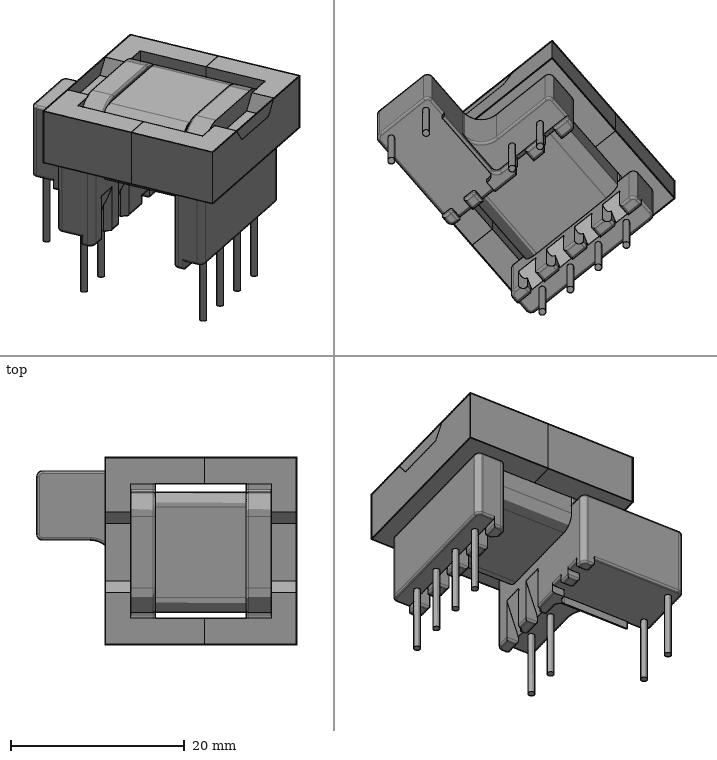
import cadquery as cq
core_height = 6.67
flange_top = 7.12
pin_tip = -17.87
block_bottom = -9.2
pad_bottom = -10.25

tape_length = 22.1
tape_width = 21.6
tape_thickness = 0.1
core_seam_x = 0.42
window_length = 16.22
window_width = 15.45
notch_top_width = 9.22
notch_floor_width = 6.58
notch_depth = 1.77

bobbin_y = -0.15
bobbin_width = 18.75
flange_outer = 8.05
flange_inner = 5.2
winding_width = 13.83
winding_top = 6.65
winding_bottom = -3.1
winding_radius = 1.7
flange_radius = 2.78
left_block_outer = -9.95
right_block_outer = 9.07
arm_end = -18.9
arm_width = 8.0
arm_radius = 2.78
corner_radius = 0.72
edge_radius = 0.3

pad_outer = 6.75
groove_width = 1.85
groove_top = -4.5
pad_corner_radius = 0.3
groove_lip_radius = 0.72
pad_overlap = 0.6
contact_tolerance = 0.03
arm_gap_rows = [3.5, 6.9]
rib_end = -15.98
rib_thickness = 0.33
rib_fillet = 0.72
rib_root = -6.0

pin_diameter = 0.8
pin_embed = 1.5
right_pin_count = 4
left_pin_count = 2
pin_pitch = 4.2
left_pin_x = -7.95
right_pin_x = 7.5
arm_pin_x = -17.6
arm_pin_pitch = 5.2

core_length = tape_length - 2 * tape_thickness
core_width = tape_width - 2 * tape_thickness
block_back = bobbin_y + bobbin_width / 2
block_front = bobbin_y - bobbin_width / 2
arm_front = block_back - arm_width
arm_y = block_back - arm_width / 2
pin_rows = [
    bobbin_y + pin_pitch * (row - (right_pin_count - 1) / 2) for row in range(right_pin_count)
]
left_pin_rows = pin_rows[:left_pin_count]


def span_box(x0, x1, y0, y1, z0, z1):
    """Box between two limits along each axis."""
    return cq.Workplane("XY").box(x1 - x0, y1 - y0, z1 - z0, centered=False).translate((x0, y0, z0))


def make_tape():
    outer = cq.Workplane("XY").rect(tape_length, tape_width)
    return outer.rect(core_length, core_width).extrude(core_height)


def make_core_half(side):
    """U-shaped half of the core; side is -1 for the -X half and +1 for the +X half."""
    x0, x1 = sorted([core_seam_x, side * core_length / 2])
    ring = cq.Workplane("XY").rect(core_length, core_width)
    ring = ring.rect(window_length, window_width).extrude(core_height)
    notch = (
        cq.Workplane("YZ")
        .moveTo(bobbin_y - notch_top_width / 2, core_height)
        .lineTo(bobbin_y - notch_floor_width / 2, core_height - notch_depth)
        .lineTo(bobbin_y + notch_floor_width / 2, core_height - notch_depth)
        .lineTo(bobbin_y + notch_top_width / 2, core_height)
        .close()
        .extrude(core_length / 2, both=True)
    )
    half_box = span_box(x0, x1, -core_width / 2, core_width / 2, 0, core_height)
    return ring.cut(notch).intersect(half_box)


def left_outline():
    """Plan of the left block with its arm, joined by a concave quarter round."""
    return (
        cq.Workplane("XY")
        .moveTo(-flange_inner, block_front)
        .lineTo(-flange_inner, block_back)
        .lineTo(arm_end, block_back)
        .lineTo(arm_end, arm_front)
        .lineTo(left_block_outer - arm_radius, arm_front)
        .radiusArc((left_block_outer, arm_front - arm_radius), arm_radius)
        .lineTo(left_block_outer, block_front)
        .close()
    )


def right_outline():
    centre_x = (flange_inner + right_block_outer) / 2
    return (
        cq.Workplane("XY")
        .center(centre_x, bobbin_y)
        .rect(right_block_outer - flange_inner, bobbin_width)
    )


def vertical_edges_at(points):
    """Selector for the vertical block edges through the given plan points."""
    selector = None
    for x, y in points:
        nearest = cq.selectors.NearestToPointSelector((x, y, pad_bottom / 2))
        selector = nearest if selector is None else selector + nearest
    return selector


def rounded_prism(outline, corners, bottom):
    """Block outline extruded down from Z = 0, with its convex corners rounded."""
    prism = outline.extrude(bottom)
    return prism.edges("|Z").edges(vertical_edges_at(corners)).fillet(corner_radius)


def make_pad(x0, x1, y0, y1, side):
    """Standoff pad whose outer front vertical edge is rounded."""
    pad = span_box(x0, x1, y0, y1, pad_bottom, block_bottom + pad_overlap)
    outer_face = ">X" if side > 0 else "<X"
    return pad.faces(outer_face).edges("|Z").edges("<Y").fillet(pad_corner_radius)


def make_rib():
    """Thin rib along the front of the arm, flared into the pad by a quarter round on each side."""
    rib_back = arm_front + rib_thickness
    plan = (
        cq.Workplane("XY", origin=(0, 0, pad_bottom))
        .moveTo(rib_end, arm_front)
        .lineTo(-pad_outer - rib_fillet, arm_front)
        .radiusArc((-pad_outer, arm_front - rib_fillet), rib_fillet)
        .lineTo(rib_root, arm_front - rib_fillet)
        .lineTo(rib_root, rib_back + rib_fillet)
        .lineTo(-pad_outer, rib_back + rib_fillet)
        .radiusArc((-pad_outer - rib_fillet, rib_back), rib_fillet)
        .lineTo(rib_end, rib_back)
        .close()
    )
    return plan.extrude(block_bottom + pad_overlap - pad_bottom)


def make_groove(side, y):
    """Groove in a block's inner face, its floor sloping outwards to the underside and its +Y lip rounded."""
    half = groove_width / 2
    lip = half + groove_lip_radius
    slope = (
        cq.Workplane("XZ")
        .moveTo(flange_inner, groove_top)
        .lineTo(pad_outer, block_bottom)
        .lineTo(pad_outer, pad_bottom)
        .lineTo(flange_inner, pad_bottom)
        .close()
        .extrude(lip, both=True)
    )
    plan = (
        cq.Workplane("XY", origin=(0, 0, pad_bottom))
        .moveTo(flange_inner, -half)
        .lineTo(pad_outer, -half)
        .lineTo(pad_outer, half)
        .lineTo(flange_inner + groove_lip_radius, half)
        .radiusArc((flange_inner, lip), -groove_lip_radius)
        .close()
        .extrude(groove_top - pad_bottom)
    )
    groove = slope.intersect(plan)
    if side < 0:
        groove = groove.mirror("YZ")
    return groove.translate((0, y, 0))


def pad_spans(rows, front, back):
    """Y limits of the pads left between gaps one groove wide on the given rows, from front to back."""
    limits = [front]
    for y in rows:
        limits += [y - groove_width / 2, y + groove_width / 2]
    limits.append(back)
    return list(zip(limits[::2], limits[1::2]))


def round_underside(pad):
    """Round the lower edges of a pad; one that reaches the thin rib is rounded only in front of it."""
    lower_edges = pad.faces("<Z").edges()
    if pad.val().BoundingBox().xmin < rib_end + edge_radius:
        low_front = (rib_end - edge_radius, block_front, pad_bottom - edge_radius)
        high_back = (0, arm_front + contact_tolerance, pad_bottom + edge_radius)
        lower_edges = lower_edges.edges(cq.selectors.BoxSelector(low_front, high_back))
    return lower_edges.fillet(edge_radius)


def finish_block(outline, corners, pads):
    """Rounded block with pads that follow its outline."""
    block = rounded_prism(outline(), corners, block_bottom)
    block = block.faces("<Z or >Z").edges().fillet(edge_radius)
    envelope = rounded_prism(outline(), corners, pad_bottom)
    for pad in pads:
        block = block.union(round_underside(pad.intersect(envelope)))
    return block


def make_right_block():
    corners = [(x, y) for x in (flange_inner, right_block_outer) for y in (block_front, block_back)]
    pads = [
        make_pad(flange_inner, pad_outer, y0, y1, 1)
        for y0, y1 in pad_spans(pin_rows, block_front, block_back)
    ]
    block = finish_block(right_outline, corners, pads)
    for y in pin_rows:
        block = block.cut(make_groove(1, y))
    return block


def make_left_block():
    corners = [
        (-flange_inner, block_front),
        (-flange_inner, block_back),
        (arm_end, block_back),
        (arm_end, arm_front),
        (left_block_outer, block_front),
    ]
    rows = left_pin_rows + arm_gap_rows
    spans = pad_spans(rows, block_front, block_back)
    pads = [make_pad(-pad_outer, -flange_inner, y0, y1, -1) for y0, y1 in spans]
    ribbed = left_pin_count
    pads[ribbed] = pads[ribbed].union(make_rib())
    block = finish_block(left_outline, corners, pads)
    for y in left_pin_rows:
        block = block.cut(make_groove(-1, y))
    return block


def make_flange(side):
    """Round-shouldered flange that flares into the block top."""
    half = winding_width / 2
    shoulder = flange_top - flange_radius
    profile = (
        cq.Workplane("YZ")
        .moveTo(-half - edge_radius, -edge_radius)
        .lineTo(-half - edge_radius, 0)
        .radiusArc((-half, edge_radius), -edge_radius)
        .lineTo(-half, shoulder)
        .radiusArc((-half + flange_radius, flange_top), flange_radius)
        .lineTo(half - flange_radius, flange_top)
        .radiusArc((half, shoulder), flange_radius)
        .lineTo(half, edge_radius)
        .radiusArc((half + edge_radius, 0), -edge_radius)
        .lineTo(half + edge_radius, -edge_radius)
        .close()
    )
    flange = profile.extrude(flange_outer - flange_inner)
    flange = flange.faces(">X").edges(">Z").fillet(edge_radius)
    if side > 0:
        flange = flange.mirror("YZ")
        return flange.translate((flange_outer, bobbin_y, 0))
    return flange.translate((-flange_outer, bobbin_y, 0))


def make_winding():
    winding = span_box(
        -flange_inner, flange_inner, -winding_width / 2, winding_width / 2, winding_bottom, winding_top
    )
    return winding.edges("|X").fillet(winding_radius).translate((0, bobbin_y, 0))


def pin_places():
    places = [(left_pin_x, y) for y in left_pin_rows]
    places += [(right_pin_x, y) for y in pin_rows]
    places += [(arm_pin_x, arm_y + step * arm_pin_pitch / 2) for step in (-1, 1)]
    return places


def make_pins():
    start = cq.Workplane("XY", origin=(0, 0, pin_tip)).pushPoints(pin_places())
    return start.circle(pin_diameter / 2).extrude(block_bottom + pin_embed - pin_tip)


def make_bobbin():
    bobbin = make_left_block().union(make_right_block())
    for side in (-1, 1):
        bobbin = bobbin.union(make_flange(side))
    return bobbin.union(make_winding()).union(make_pins())


tape = make_tape()
core_halves = [make_core_half(side) for side in (-1, 1)]
bobbin = make_bobbin()

result = cq.Compound.makeCompound(
    [tape.val(), *[half.val() for half in core_halves], bobbin.val()]
)